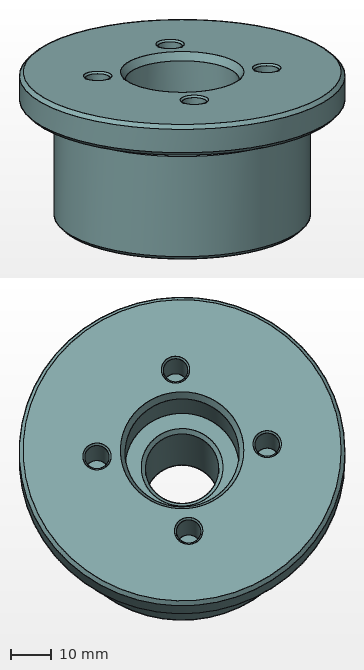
import cadquery as cq
import math

flange_diameter = 80.0
flange_thickness = 8.0
total_height = 38.0
body_diameter = 63.0
edge_chamfer = 1.0

neck_diameter = 62.0
neck_height = 2.5
body_shoulder_chamfer = (body_diameter - neck_diameter) / 2

bore_diameter = 18.0
counterbore_diameter = 28.0
counterbore_depth = 13.0
counterbore_chamfer_depth = 2.0
counterbore_chamfer_angle = 30
counterbore_chamfer_width = counterbore_chamfer_depth * math.tan(math.radians(counterbore_chamfer_angle))
bore_chamfer = 1.0

hole_count = 4
hole_circle_radius = 21.0
hole_diameter = 6.0
hole_chamfer = 0.5
hole_depth = 12.0


def cylinder(diameter, bottom, top):
    return cq.Workplane("XY").workplane(offset=bottom).circle(diameter / 2).extrude(top - bottom)


def recess(diameter, depth, top, chamfer_width, chamfer_depth):
    """Round cutter going down from top, with a chamfered mouth."""
    radius = diameter / 2
    profile = [
        (0, top),
        (radius + chamfer_width, top),
        (radius, top - chamfer_depth),
        (radius, top - depth),
        (0, top - depth),
    ]
    return cq.Workplane("XZ").polyline(profile).close().revolve(360, (0, 0), (0, 1))


flange_bottom = total_height - flange_thickness
body_top = flange_bottom - neck_height
counterbore_floor = total_height - counterbore_depth

flange = cylinder(flange_diameter, flange_bottom, total_height).edges().chamfer(edge_chamfer)
neck = cylinder(neck_diameter, body_top, flange_bottom)
body = cylinder(body_diameter, 0, body_top)
body = body.edges("<Z").chamfer(edge_chamfer)
body = body.edges(">Z").chamfer(body_shoulder_chamfer)
result = body.union(neck).union(flange)

counterbore = recess(
    counterbore_diameter,
    counterbore_depth,
    total_height,
    counterbore_chamfer_width,
    counterbore_chamfer_depth,
)
bore = recess(bore_diameter, counterbore_floor, counterbore_floor, bore_chamfer, bore_chamfer)
result = result.cut(counterbore).cut(bore)

hole_cutter = recess(hole_diameter, hole_depth, total_height, hole_chamfer, hole_chamfer)
for index in range(hole_count):
    angle = math.radians(45 + index * 360 / hole_count)
    position = (hole_circle_radius * math.cos(angle), hole_circle_radius * math.sin(angle), 0)
    result = result.cut(hole_cutter.translate(position))